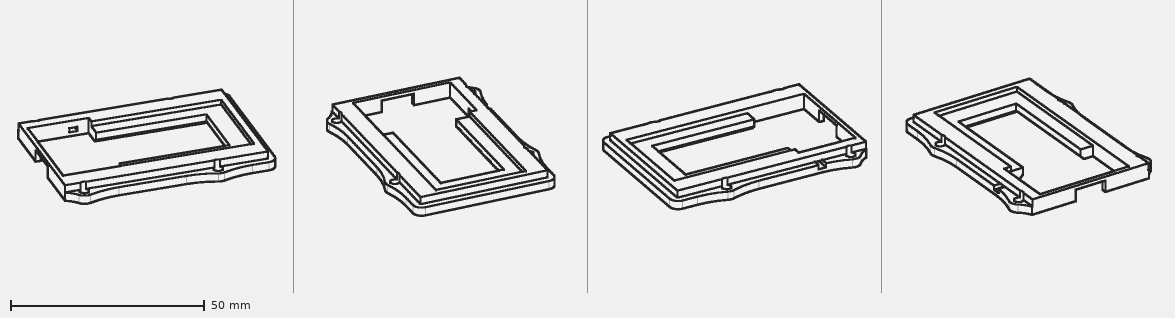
import cadquery as cq
import math

LENGTH = 57.7
WIDTH = 43.1
HEIGHT = 4.5
BACK_Y = LENGTH / 2
FRONT_Y = -LENGTH / 2

FLANGE_HALF_WIDTH = 19.95
FLANGE_FRONT_HALF_WIDTH = 18.2
FLANGE_HEIGHT = 2.4
CORNER_RADIUS = 2.4
HOLE_DIAMETER = 2.5
HOLE_X = 19.0
BACK_HOLE_Y = 12.85
FRONT_HOLE_Y = -23.85
EAR_RADIUS = WIDTH / 2 - HOLE_X
EAR_FLARE_RADIUS = 24.25
FRONT_FLARE_RADIUS = 7.5

BLOCK_HALF_WIDTH = 18.0
BLOCK_BACK_Y = 26.85

RECESS_HALF_WIDTH = 12.75
RECESS_BACK_Y = 24.85
LEDGE_HEIGHT = 3.1
LEDGE_FRONT_Y = -10.75
WINDOW_HALF_WIDTH = 8.95
WINDOW_BACK_Y = 19.45
WINDOW_BEVEL = 1.05
OPENING_LEFT_X = -14.8
FRONT_WALL = 1.4

SLOT_WIDTH = 9.2
SLOT_HEIGHT = 3.35

GROOVE_BACK_Y = -13.8
GROOVE_WIDTH = 2.2
GROOVE_DEPTH = 1.2


def box(x_min, x_max, y_min, y_max, z_min, z_max):
    """Block between the given limits."""
    size = (x_max - x_min, y_max - y_min, z_max - z_min)
    return cq.Workplane("XY").box(*size, centered=False).translate((x_min, y_min, z_min))


def circle_point(center, radius, angle):
    return (center[0] + radius * math.cos(angle), center[1] + radius * math.sin(angle))


def add_arc(outline, center, radius, start_angle, end_angle):
    """Continue the outline along a circle from its current point."""
    middle = circle_point(center, radius, (start_angle + end_angle) / 2)
    end = circle_point(center, radius, end_angle)
    return outline.threePointArc(middle, end)


def right_half_flange():
    """Half of the flange; every flare is tangent to the ear it joins."""
    back_hole = (HOLE_X, BACK_HOLE_Y)
    front_hole = (HOLE_X, FRONT_HOLE_Y)

    flare_x = FLANGE_HALF_WIDTH + EAR_FLARE_RADIUS
    flare_reach = EAR_RADIUS + EAR_FLARE_RADIUS
    flare_angle = math.acos((flare_x - HOLE_X) / flare_reach)
    flare_offset = flare_reach * math.sin(flare_angle)

    corner_dx = FLANGE_FRONT_HALF_WIDTH - HOLE_X
    corner_dy = FRONT_Y - FRONT_HOLE_Y
    corner_distance = math.hypot(corner_dx, corner_dy)
    front_reach = EAR_RADIUS + FRONT_FLARE_RADIUS
    squares = corner_distance**2 + front_reach**2 - FRONT_FLARE_RADIUS**2
    cosine = squares / (2 * corner_distance * front_reach)
    front_angle = math.atan2(corner_dy, corner_dx) + math.acos(cosine)
    front_center = circle_point(front_hole, front_reach, front_angle)
    corner_angle = math.atan2(FRONT_Y - front_center[1], FLANGE_FRONT_HALF_WIDTH - front_center[0])

    corner_center = (FLANGE_HALF_WIDTH - CORNER_RADIUS, BACK_Y - CORNER_RADIUS)
    outline = cq.Workplane("XY").moveTo(0, BACK_Y).lineTo(corner_center[0], BACK_Y)
    outline = add_arc(outline, corner_center, CORNER_RADIUS, math.pi / 2, 0)

    for hole, ear_end_angle in ((back_hole, -flare_angle), (front_hole, front_angle)):
        flare_center = (flare_x, hole[1] + flare_offset)
        outline = outline.lineTo(FLANGE_HALF_WIDTH, flare_center[1])
        outline = add_arc(outline, flare_center, EAR_FLARE_RADIUS, math.pi, math.pi + flare_angle)
        outline = add_arc(outline, hole, EAR_RADIUS, flare_angle, ear_end_angle)
        if hole == back_hole:
            flare_center = (flare_x, hole[1] - flare_offset)
            outline = add_arc(outline, flare_center, EAR_FLARE_RADIUS, math.pi - flare_angle, math.pi)
    outline = add_arc(outline, front_center, FRONT_FLARE_RADIUS, front_angle + math.pi, corner_angle)

    return outline.lineTo(0, FRONT_Y).close().extrude(FLANGE_HEIGHT)


def window():
    """Through window whose back and side edges are bevelled underneath."""
    opening = box(-WINDOW_HALF_WIDTH, WINDOW_HALF_WIDTH, LEDGE_FRONT_Y, WINDOW_BACK_Y, 0, HEIGHT)
    bevel = (
        cq.Workplane("XY")
        .center(0, (LEDGE_FRONT_Y + WINDOW_BACK_Y) / 2)
        .rect(2 * (WINDOW_HALF_WIDTH + WINDOW_BEVEL), WINDOW_BACK_Y - LEDGE_FRONT_Y + 2 * WINDOW_BEVEL)
        .extrude(WINDOW_BEVEL, taper=45)
    )
    return opening.union(bevel)


half_flange = right_half_flange()
flange = half_flange.union(half_flange.mirror("YZ"))
block = box(-BLOCK_HALF_WIDTH, BLOCK_HALF_WIDTH, FRONT_Y, BLOCK_BACK_Y, 0, HEIGHT)
screw_holes = (
    cq.Workplane("XY")
    .pushPoints([(side * HOLE_X, y) for side in (-1, 1) for y in (BACK_HOLE_Y, FRONT_HOLE_Y)])
    .circle(HOLE_DIAMETER / 2)
    .extrude(HEIGHT)
)
recess = box(-RECESS_HALF_WIDTH, RECESS_HALF_WIDTH, LEDGE_FRONT_Y, RECESS_BACK_Y, LEDGE_HEIGHT, HEIGHT)
opening_front_y = FRONT_Y + FRONT_WALL
front_opening = box(OPENING_LEFT_X, RECESS_HALF_WIDTH, opening_front_y, LEDGE_FRONT_Y, 0, HEIGHT)
slot = box(-SLOT_WIDTH / 2, SLOT_WIDTH / 2, FRONT_Y, opening_front_y, 0, SLOT_HEIGHT)
groove = box(
    -WIDTH / 2,
    OPENING_LEFT_X,
    GROOVE_BACK_Y - GROOVE_WIDTH,
    GROOVE_BACK_Y,
    FLANGE_HEIGHT - GROOVE_DEPTH,
    FLANGE_HEIGHT,
)

result = flange.union(block)
for cutter in (screw_holes, recess, window(), front_opening, slot, groove):
    result = result.cut(cutter)